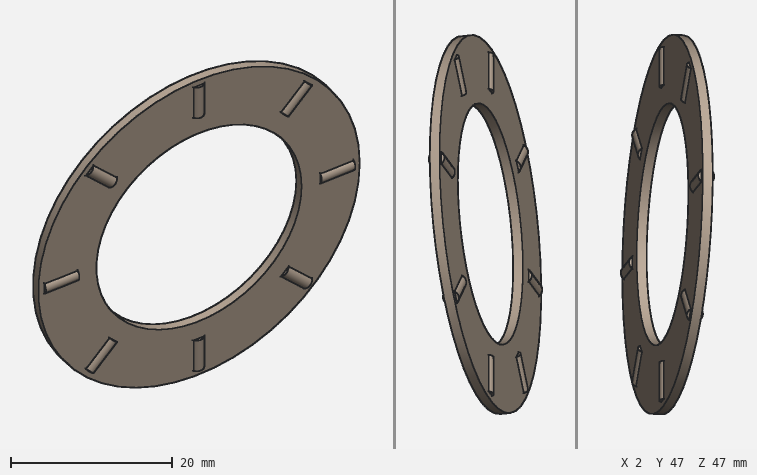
import cadquery as cq
import math

ring_diameter = 47.0
bore_diameter = 30.0
ring_thickness = 1.25

roller_count = 8
roller_diameter = 2.0
roller_length = 4.9
roller_center_radius = 20.15


def make_roller(angle):
    """Cylinder whose axis runs radially in the YZ plane, at an angle from +Y in degrees."""
    direction = cq.Vector(0, math.cos(math.radians(angle)), math.sin(math.radians(angle)))
    inner_end = direction * (roller_center_radius - roller_length / 2)
    return cq.Solid.makeCylinder(roller_diameter / 2, roller_length, inner_end, direction)


def make_cage(rollers):
    """Flat ring centered on X = 0, with a window that fits each roller."""
    cage = (
        cq.Workplane("YZ", origin=(-ring_thickness / 2, 0, 0))
        .circle(ring_diameter / 2)
        .circle(bore_diameter / 2)
        .extrude(ring_thickness)
    )
    for roller in rollers:
        cage = cage.cut(cq.Workplane(obj=roller))
    return cage


roller_angles = [index * 360 / roller_count for index in range(roller_count)]
rollers = [make_roller(angle) for angle in roller_angles]
cage = make_cage(rollers)

result = cq.Compound.makeCompound([cage.val(), *rollers])